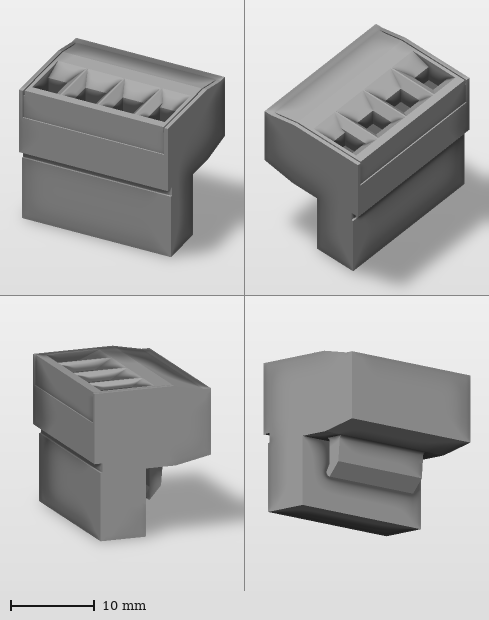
import cadquery as cq

width = 19.99
depth = 15.0
height = 18.3

roof_flat_end_y = 10.25
back_ledge_y = 14.0
back_top_z = height - 0.75
back_bottom_z = 9.34
underside_flat_end_y = 10.45
underside_z = 8.44
plug_back_y = 6.6
plug_front_y = 0.78
notch_y = 1.04
notch_top_z = 9.62

end_wall = 0.5
cover_gap = 0.15
cover_height = 3.74

terminal_count = 4
terminal_pitch = width / terminal_count
rib_thickness = 0.2
row_end_margin = 1.1
funnel_front_y = 1.28
funnel_back_y = 8.12
funnel_depth = 1.0
outer_side_depth = 0.7
hole_width = terminal_pitch - 2 * row_end_margin
hole_front_y = 2.55
hole_back_y = 5.55
hole_depth = 3.2

latch_start_x = 2.94
latch_front_y = 8.24
latch_back_y = 9.94
latch_back_radius = 0.4
latch_front_radius = 0.5
latch_bend_back = (9.72, 5.32)
latch_bend_front_z = 5.28
latch_tip_back = (8.24, 3.65)
latch_tip_middle = (7.88, 3.9)
latch_tip_front = (7.68, 4.28)


def make_housing():
    """Housing and plug block as one side profile swept over the full width."""
    profile = [
        (0, notch_top_z),
        (0, height),
        (roof_flat_end_y, height),
        (back_ledge_y, back_top_z),
        (depth, back_top_z),
        (depth, back_bottom_z),
        (underside_flat_end_y, underside_z),
        (plug_back_y, underside_z),
        (plug_back_y, 0),
        (plug_front_y, 0),
        (plug_front_y, underside_z),
        (notch_y, underside_z),
        (notch_y, notch_top_z),
    ]
    return cq.Workplane("YZ").polyline(profile).close().extrude(width)


def box_between(x_range, y_range, z_range):
    """Axis-aligned box given by its limits along each axis."""
    sizes = [high - low for low, high in (x_range, y_range, z_range)]
    corner = (x_range[0], y_range[0], z_range[0])
    return cq.Workplane("XY").box(*sizes, centered=False).translate(corner)


def make_cover_gaps():
    """Shallow recess in front of the cover and a groove along each of its ends."""
    gaps = box_between(
        (end_wall, width - end_wall), (0, cover_gap), (height - cover_height, height)
    )
    for groove_x in (end_wall, width - end_wall - cover_gap):
        groove = box_between(
            (groove_x, groove_x + cover_gap), (0, back_ledge_y), (back_top_z, height)
        )
        gaps = gaps.union(groove)
    return gaps


def make_pocket(index):
    """Funnel narrowing to a rectangular hole; the end pockets stop at the row margin."""
    center_x = (index + 0.5) * terminal_pitch
    half_top = (terminal_pitch - rib_thickness) / 2
    half_hole = hole_width / 2
    is_outer = index in (0, terminal_count - 1)
    side_z = height - (outer_side_depth if is_outer else funnel_depth)
    funnel_z = height - funnel_depth
    floor_z = height - hole_depth

    front_to_back = [
        (funnel_front_y, height),
        (hole_front_y, funnel_z),
        (hole_front_y, floor_z),
        (hole_back_y, floor_z),
        (hole_back_y, funnel_z),
        (funnel_back_y, height),
    ]
    side_to_side = [
        (center_x - half_top, height),
        (center_x - half_hole, side_z),
        (center_x - half_hole, floor_z),
        (center_x + half_hole, floor_z),
        (center_x + half_hole, side_z),
        (center_x + half_top, height),
    ]
    pocket = cq.Workplane("YZ").polyline(front_to_back).close().extrude(width)
    across = cq.Workplane("XZ").polyline(side_to_side).close().extrude(-depth)
    row = box_between((row_end_margin, width - row_end_margin), (0, depth), (0, height))
    return pocket.intersect(across).intersect(row)


def make_latch():
    """Hooked latch with rounded roots, centered along the width."""
    back_root_z = underside_z - latch_back_radius
    front_root_z = underside_z - latch_front_radius
    return (
        cq.Workplane("YZ", origin=(latch_start_x, 0, 0))
        .moveTo(latch_back_y + latch_back_radius, underside_z)
        .radiusArc((latch_back_y, back_root_z), -latch_back_radius)
        .lineTo(*latch_bend_back)
        .lineTo(*latch_tip_back)
        .threePointArc(latch_tip_middle, latch_tip_front)
        .lineTo(latch_front_y, latch_bend_front_z)
        .lineTo(latch_front_y, front_root_z)
        .radiusArc((latch_front_y - latch_front_radius, underside_z), -latch_front_radius)
        .close()
        .extrude(width - 2 * latch_start_x)
    )


result = make_housing().cut(make_cover_gaps())
for terminal in range(terminal_count):
    result = result.cut(make_pocket(terminal))
result = result.union(make_latch())